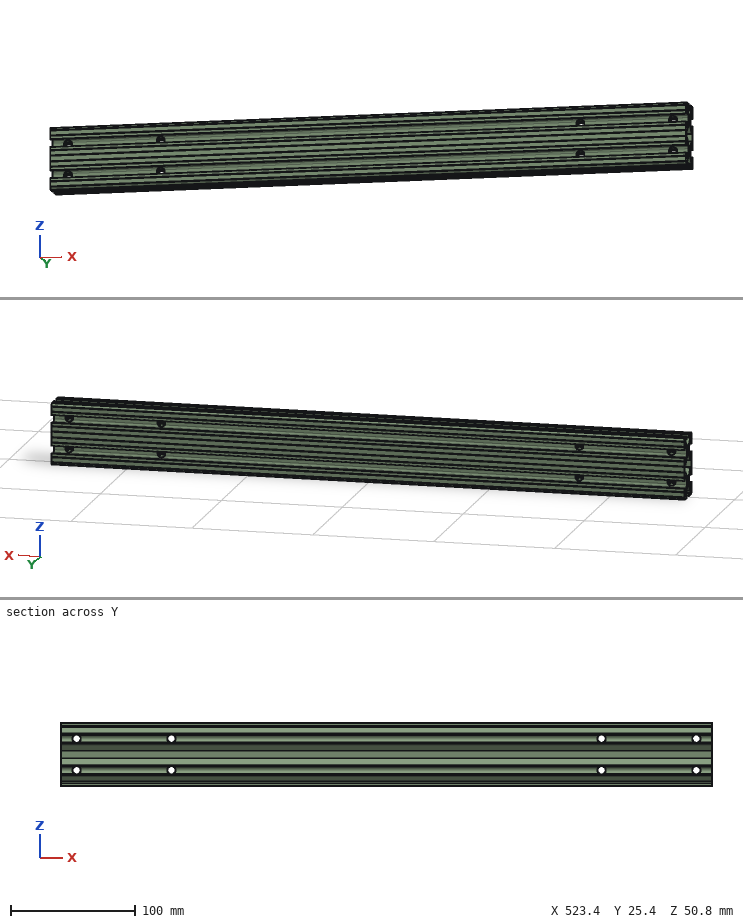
import math

import cadquery as cq

LENGTH = 523.4
UNIT = 25.4
CORNER_RADIUS = 2.4
SLOT_OPENING = 6.5
SLOT_INNER_WIDTH = 14.83
WALL = 2.21
LIP_NECK_THICKNESS = 1.4
LIP_TIP_DEPTH = 2.4
LIP_HOOK_WIDTH = 1.0
CORE_WIDTH = 8.4
FLOOR_FILLET_RADIUS = 2.5
CORE_BORE_DIAMETER = 5.2
GROOVE_OFFSETS = (6.0, 10.3)
GROOVE_WIDTH = 0.6
GROOVE_DEPTH = 0.3
ACCESS_HOLE_DIAMETER = 6.5
ACCESS_HOLE_INSETS = (12.7, 88.9)

HALF_UNIT = UNIT / 2
CORE_HALF = CORE_WIDTH / 2
CELL_CENTERS = (-HALF_UNIT, HALF_UNIT)
RIB_OFFSET = WALL / math.sqrt(2)

SLOTS = [(z, angle) for z in CELL_CENTERS for angle in (90, -90)]
SLOTS += [(HALF_UNIT, 0), (-HALF_UNIT, 180)]


def profile_plane():
    """YZ plane at the -X end of the bar."""
    return cq.Workplane("YZ", origin=(-LENGTH / 2, 0, 0))


def extrude_mirrored(right_half):
    """Extrude the outline given by its right half, listed from top to bottom, and its mirror image."""
    left_half = [(-y, z) for y, z in reversed(right_half)]
    return profile_plane().polyline(right_half + left_half).close().extrude(LENGTH)


def fillet_core_corners(body, y, z):
    """Round the lengthwise edges of a cutter that lie at (+/-y, z)."""
    for side in (-1, 1):
        corner = cq.Vector(0, side * y, z)
        body = body.edges(cq.selectors.NearestToPointSelector(corner)).fillet(FLOOR_FILLET_RADIUS)
    return body


def make_blank():
    blank = profile_plane().rect(UNIT, 2 * UNIT).extrude(LENGTH)
    return blank.edges("|X").fillet(CORNER_RADIUS)


def make_slot():
    """T-slot with hooked, tapering lips; its floor blends into the diagonal ribs."""
    mouth = SLOT_OPENING / 2
    inner = SLOT_INNER_WIDTH / 2
    floor_edge = CORE_HALF - RIB_OFFSET
    slot = extrude_mirrored([
        (mouth, HALF_UNIT),
        (mouth, HALF_UNIT - LIP_TIP_DEPTH),
        (mouth + LIP_HOOK_WIDTH, HALF_UNIT - LIP_NECK_THICKNESS),
        (inner, HALF_UNIT - WALL),
        (inner, inner + RIB_OFFSET),
        (floor_edge, CORE_HALF),
    ])
    return fillet_core_corners(slot, floor_edge, CORE_HALF)


def make_face_grooves():
    """V-grooves on both sides of one slot."""
    half_width = GROOVE_WIDTH / 2
    outlines = profile_plane()
    for offset in GROOVE_OFFSETS:
        for y in (-offset, offset):
            outlines = outlines.polyline([
                (y - half_width, HALF_UNIT),
                (y, HALF_UNIT - GROOVE_DEPTH),
                (y + half_width, HALF_UNIT),
            ]).close()
    return outlines.extrude(LENGTH)


def make_center_cavity():
    """Cavity between the two cores, one wall thickness away from the slots beside it."""
    side = HALF_UNIT - WALL
    shelf = HALF_UNIT - SLOT_INNER_WIDTH / 2 - WALL
    rib_sum = HALF_UNIT - RIB_OFFSET
    top = HALF_UNIT - CORE_HALF
    top_edge = rib_sum - top
    upper = [
        (top_edge, top),
        (rib_sum - shelf, shelf),
        (side, shelf),
    ]
    lower = [(y, -z) for y, z in reversed(upper)]
    cavity = extrude_mirrored(upper + lower)
    for z in (-top, top):
        cavity = fillet_core_corners(cavity, top_edge, z)
    return cavity


def make_core_bores():
    centers = [(0, z) for z in CELL_CENTERS]
    return profile_plane().pushPoints(centers).circle(CORE_BORE_DIAMETER / 2).extrude(LENGTH)


def make_access_holes():
    """Cross holes along Y through both cores, mirrored about the middle of the bar."""
    centers = []
    for inset in ACCESS_HOLE_INSETS:
        for side in (-1, 1):
            centers += [(side * (LENGTH / 2 - inset), z) for z in CELL_CENTERS]
    holes = cq.Workplane("XZ").pushPoints(centers).circle(ACCESS_HOLE_DIAMETER / 2)
    return holes.extrude(HALF_UNIT, both=True)


result = make_blank()
for cell_z, angle in SLOTS:
    for cutter in (make_slot(), make_face_grooves()):
        turned = cutter.rotate((0, 0, 0), (1, 0, 0), angle)
        result = result.cut(turned.translate((0, 0, cell_z)))
result = result.cut(make_center_cavity())
result = result.cut(make_core_bores())
result = result.cut(make_access_holes())